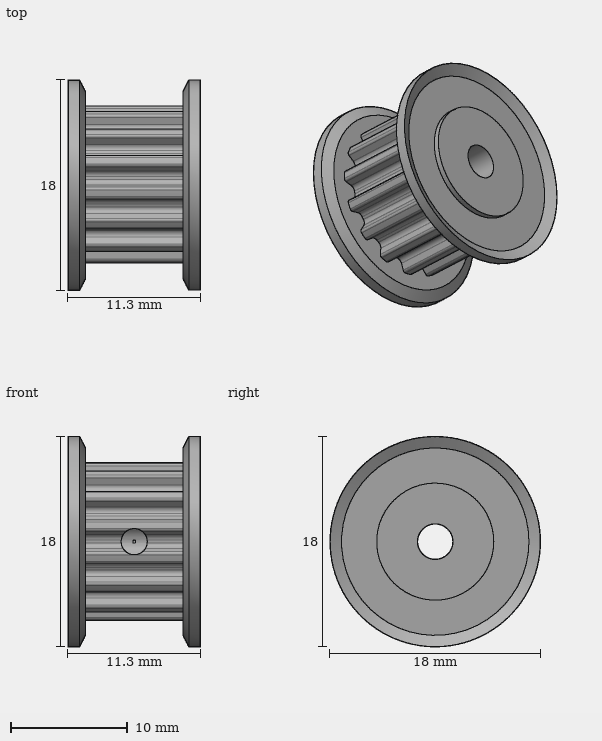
import cadquery as cq
import math

overall_width = 11.3
flange_diameter = 18.0

toothed_width = 8.32
hub_diameter = 10.0
bore_diameter = 3.0

tooth_count = 15
tip_radius = 6.77
root_radius = 5.67
groove_mouth = 1.95
flank_angle = 25.0
tip_rounding = 0.25
root_rounding = 0.5
cutter_overrun = 0.9

dish_depth = 0.5
web_diameter = 16.02
flange_thickness = (overall_width - toothed_width) / 2 - dish_depth

screw_hole_diameter = 2.23
drill_point_angle = 118.0
drill_mark_diameter = 0.25


def cylinder_along_x(diameter, width):
    """Cylinder on the X axis, centred on the origin."""
    return cq.Workplane("YZ").circle(diameter / 2).extrude(width / 2, both=True)


def groove_cutter():
    """Wedge that removes the -Y tooth groove down to the root cylinder."""
    flank_slope = math.tan(math.radians(flank_angle))
    apex_radius = tip_radius - groove_mouth / 2 / flank_slope
    outer_radius = tip_radius + cutter_overrun
    outer_half_width = (outer_radius - apex_radius) * flank_slope
    wedge = (
        cq.Workplane("YZ")
        .moveTo(-apex_radius, 0)
        .lineTo(-outer_radius, outer_half_width)
        .lineTo(-outer_radius, -outer_half_width)
        .close()
        .extrude(toothed_width / 2, both=True)
    )
    return wedge.cut(cylinder_along_x(2 * root_radius, toothed_width))


def axial_edges_at(body, radius):
    """Edges parallel to X that lie at the given distance from the X axis."""
    tolerance = 0.002
    return [
        edge
        for edge in body.edges("|X").vals()
        if abs(math.hypot(edge.Center().y, edge.Center().z) - radius) < tolerance
    ]


def make_toothed_rim():
    """Toothed middle section with rounded tooth tips and groove bottoms."""
    rim = cylinder_along_x(2 * tip_radius, toothed_width)
    cutter = groove_cutter()
    for groove in range(tooth_count):
        angle = groove * 360.0 / tooth_count
        rim = rim.cut(cutter.rotate((0, 0, 0), (1, 0, 0), angle))
    rim = rim.clean()
    rim = rim.newObject(axial_edges_at(rim, tip_radius)).fillet(tip_rounding)
    return rim.newObject(axial_edges_at(rim, root_radius)).fillet(root_rounding)


def make_screw_hole():
    """Drill shape with a conical point that just marks the far bore wall."""
    hole_radius = screw_hole_diameter / 2
    mark_radius = drill_mark_diameter / 2
    point_slope = math.tan(math.radians(drill_point_angle / 2))
    tip_y = bore_diameter / 2 + mark_radius / point_slope
    shoulder_y = tip_y - hole_radius / point_slope
    return (
        cq.Workplane("XY")
        .moveTo(0, -tip_radius)
        .lineTo(hole_radius, -tip_radius)
        .lineTo(hole_radius, shoulder_y)
        .lineTo(0, tip_y)
        .close()
        .revolve(360, (0, 0, 0), (0, 1, 0))
    )


def make_core():
    """Toothed rim and hub in one piece, with the bore and the set-screw hole."""
    core = make_toothed_rim().union(cylinder_along_x(hub_diameter, overall_width))
    core = core.cut(cylinder_along_x(bore_diameter, overall_width))
    return core.cut(make_screw_hole())


def make_flange():
    """Dished ring for the +X side: its web bears on the teeth, its rim turns outwards."""
    hub_radius = hub_diameter / 2
    web_radius = web_diameter / 2
    rim_radius = flange_diameter / 2
    web_inner_x = toothed_width / 2
    web_outer_x = web_inner_x + flange_thickness
    return (
        cq.Workplane("XY")
        .moveTo(web_inner_x, hub_radius)
        .lineTo(web_inner_x, web_radius)
        .lineTo(web_inner_x + dish_depth, rim_radius)
        .lineTo(web_outer_x + dish_depth, rim_radius)
        .lineTo(web_outer_x, web_radius)
        .lineTo(web_outer_x, hub_radius)
        .close()
        .revolve(360, (0, 0, 0), (1, 0, 0))
    )


core = make_core()
flanges = []
for turn in (0, 180):
    flanges.append(make_flange().rotate((0, 0, 0), (0, 0, 1), turn).val())

result = cq.Compound.makeCompound([core.val(), *flanges])